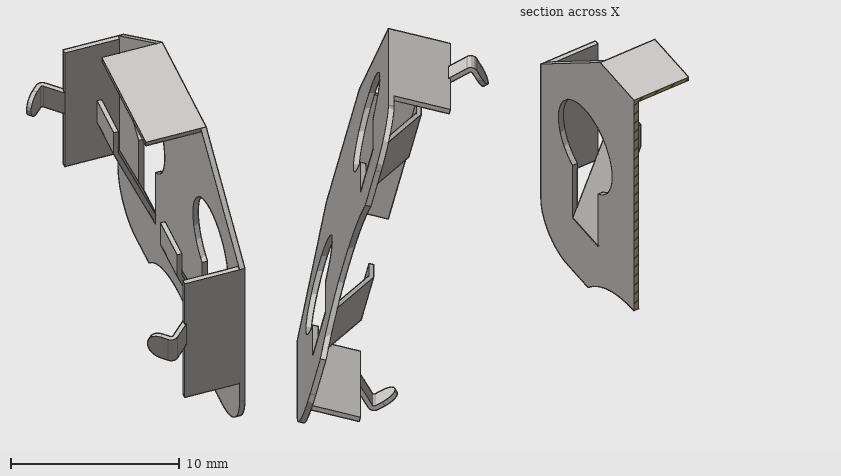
import cadquery as cq
import math

plate_width = 21.1
plate_height = 19.6
plate_thickness = 0.35
top_edge_width = 7.65
shoulder_z = 14.01
corner_radius = 3.0
notch_width = 10.38
notch_height = 2.3

sheet_thickness = 0.3
flange_depth = 3.82
side_flange_bottom_z = 4.52

window_spacing = 11.0
window_diameter = 6.1
window_z = 11.28
finger_width = 2.9
finger_depth = 2.99
finger_root_z = 4.3
finger_bend_z = 11.0
finger_top_z = 12.8

overall_width = 23.15
overall_depth = 6.15
tongue_z = 9.8
tongue_width = 1.74
tongue_inner_radius = 0.12

half_width = plate_width / 2


def box_between(x0, x1, y0, y1, z0, z1):
    return cq.Workplane("XY").box(x1 - x0, y1 - y0, z1 - z0, centered=False).translate((x0, y0, z0))


def make_plate():
    """Plate with sloping shoulders, rounded lower corners and an arched bottom notch."""
    half_top = top_edge_width / 2
    half_notch = notch_width / 2
    arc_inset = corner_radius * (1 - math.sqrt(0.5))
    return (
        cq.Workplane("XZ")
        .moveTo(-half_top, plate_height)
        .lineTo(half_top, plate_height)
        .lineTo(half_width, shoulder_z)
        .lineTo(half_width, corner_radius)
        .threePointArc((half_width - arc_inset, arc_inset), (half_width - corner_radius, 0))
        .lineTo(half_notch, 0)
        .threePointArc((0, notch_height), (-half_notch, 0))
        .lineTo(corner_radius - half_width, 0)
        .threePointArc((arc_inset - half_width, arc_inset), (-half_width, corner_radius))
        .lineTo(-half_width, shoulder_z)
        .close()
        .extrude(plate_thickness)
    )


def make_window(x):
    """Round hole joined to the slot left by the lifted finger."""
    hole = (
        cq.Workplane("XZ")
        .center(x, window_z)
        .circle(window_diameter / 2)
        .extrude(plate_thickness)
    )
    slot = box_between(
        x - finger_width / 2, x + finger_width / 2, -plate_thickness, 0, finger_root_z, window_z
    )
    return hole.union(slot)


def make_finger(x):
    """Finger that slopes forward out of the plate and ends in an upright tip."""
    run = finger_depth - plate_thickness
    rise = finger_bend_z - finger_root_z
    slope = rise / run
    back_offset_z = sheet_thickness * math.hypot(run, rise) / run
    plate_end_z = finger_root_z - slope * plate_thickness
    tip_back = finger_depth - sheet_thickness
    return (
        cq.Workplane("YZ")
        .moveTo(0, plate_end_z)
        .lineTo(-finger_depth, finger_bend_z)
        .lineTo(-finger_depth, finger_top_z)
        .lineTo(-tip_back, finger_top_z)
        .lineTo(-tip_back, plate_end_z + slope * tip_back + back_offset_z)
        .lineTo(0, plate_end_z + back_offset_z)
        .close()
        .extrude(finger_width / 2, both=True)
        .translate((x, 0, 0))
    )


def make_right_tongue():
    """V-shaped tongue with two 45 degree arms, a rounded bend and a round tip."""
    outer_radius = tongue_inner_radius + sheet_thickness
    outer_apex_x = overall_width / 2 + outer_radius * (math.sqrt(2) - 1)
    inner_apex_x = outer_apex_x - sheet_thickness * math.sqrt(2)
    root_x = half_width - sheet_thickness
    root_reach = inner_apex_x - root_x
    apex_y = -flange_depth - root_reach
    tip_reach = overall_depth + apex_y
    diagonal = sheet_thickness / math.sqrt(2)
    tip_x = outer_apex_x - tip_reach

    tongue = (
        cq.Workplane("XY")
        .moveTo(root_x, -flange_depth)
        .lineTo(inner_apex_x, apex_y)
        .lineTo(tip_x - diagonal, diagonal - overall_depth)
        .lineTo(tip_x, -overall_depth)
        .lineTo(outer_apex_x, apex_y)
        .lineTo(root_x + diagonal, diagonal - flange_depth)
        .close()
        .extrude(tongue_width / 2, both=True)
    )
    tongue = tongue.edges(cq.selectors.NearestToPointSelector((outer_apex_x, apex_y, 0))).fillet(outer_radius)
    tongue = tongue.edges(cq.selectors.NearestToPointSelector((inner_apex_x, apex_y, 0))).fillet(
        tongue_inner_radius
    )

    tip_radius = 0.999 * tongue_width / 2
    tip_center = (tip_x - diagonal / 2, diagonal / 2 - overall_depth)
    for side in (-1, 1):
        corner = (*tip_center, side * tongue_width / 2)
        tongue = tongue.edges(cq.selectors.NearestToPointSelector(corner)).fillet(tip_radius)
    return tongue.translate((0, 0, tongue_z))


result = make_plate()

for window_x in (-window_spacing / 2, window_spacing / 2):
    result = result.cut(make_window(window_x)).union(make_finger(window_x))

top_flange = box_between(
    -top_edge_width / 2, top_edge_width / 2, -flange_depth, 0, plate_height - sheet_thickness, plate_height
)
result = result.union(top_flange)

right_flange = box_between(
    half_width - sheet_thickness, half_width, -flange_depth, 0, side_flange_bottom_z, shoulder_z
)
right_side = right_flange.union(make_right_tongue())
result = result.union(right_side).union(right_side.mirror("YZ"))